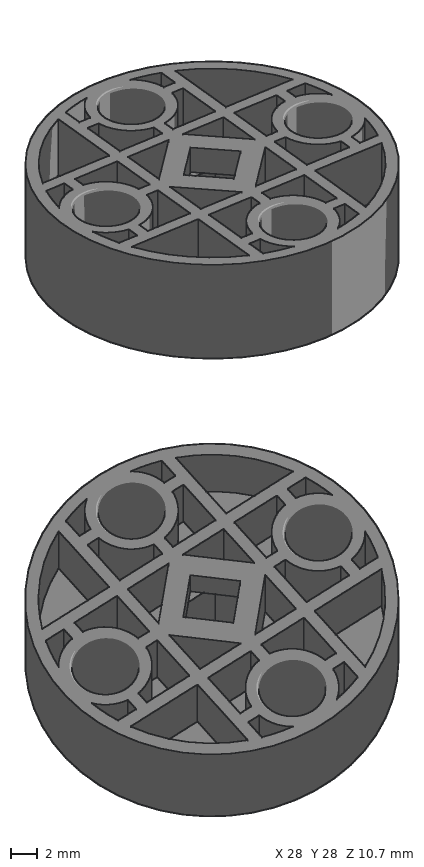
import cadquery as cq
import math

disc_radius = 14.0
disc_height = 8.4
hub_radius = 6.5
hub_height = 2.3

rim_thickness = 1.0
rib_thickness = 1.0
rib_offset = 5.0
pocket_depth = 5.0
floor_height = disc_height - pocket_depth

boss_distance = 10.0
boss_radius = 3.5
pin_hole_radius = 2.5
pin_hole_round = 0.2
boss_angles = (0, 90, 180, 270)

sleeve_side = 7.3
square_side = 3.8
square_depth = 2.2
bore_radius = 2.7
bore_flat_distance = 4.0


def at_height(z):
    return cq.Workplane("XY").workplane(offset=z)


def turned_square(side, z, height):
    """Square prism with its corners on the X and Y axes."""
    return at_height(z).rect(side, side).extrude(height).rotate((0, 0, 0), (0, 0, 1), 45)


def boss_frame():
    """Boss on the +X axis with the cross of short ribs that ties it to the grid and rim."""
    boss = at_height(floor_height).center(boss_distance, 0).circle(boss_radius).extrude(pocket_depth)
    cross_rib = (
        at_height(floor_height)
        .center(boss_distance, 0)
        .rect(rib_thickness, 2 * rib_offset)
        .extrude(pocket_depth)
    )
    radial_rib = (
        at_height(floor_height)
        .center((rib_offset + boss_distance) / 2, 0)
        .rect(boss_distance - rib_offset, rib_thickness)
        .extrude(pocket_depth)
    )
    return boss.union(cross_rib).union(radial_rib)


def ribs():
    """Everything that stands on the pocket floor inside the rim."""
    length = 2 * disc_radius
    frame = turned_square(sleeve_side, floor_height, pocket_depth)
    for offset in (-rib_offset, rib_offset):
        along_x = at_height(floor_height).center(0, offset).rect(length, rib_thickness).extrude(pocket_depth)
        along_y = at_height(floor_height).center(offset, 0).rect(rib_thickness, length).extrude(pocket_depth)
        frame = frame.union(along_x).union(along_y)
    for angle in boss_angles:
        frame = frame.union(boss_frame().rotate((0, 0, 0), (0, 0, 1), angle))
    return frame


def body():
    """Disc hollowed from the top around its ribs, with the hub below it."""
    disc = cq.Workplane("XY").circle(disc_radius).extrude(disc_height)
    cavity = at_height(floor_height).circle(disc_radius - rim_thickness).extrude(pocket_depth)
    hub = at_height(-hub_height).circle(hub_radius).extrude(hub_height)
    return disc.cut(cavity.cut(ribs())).union(hub)


def pin_hole():
    """Cutter for the through hole on the +X axis, flared at the top by a rounded mouth."""
    straight_top = disc_height - pin_hole_round
    mouth_radius = pin_hole_radius + pin_hole_round
    arc_rise = pin_hole_round * math.sin(math.radians(45))
    arc_reach = pin_hole_round - arc_rise
    profile = (
        cq.Workplane("XZ")
        .lineTo(pin_hole_radius, 0)
        .lineTo(pin_hole_radius, straight_top)
        .threePointArc((pin_hole_radius + arc_reach, straight_top + arc_rise), (mouth_radius, disc_height))
        .lineTo(0, disc_height)
        .close()
    )
    return profile.revolve(360, (0, 0, 0), (0, 1, 0)).translate((boss_distance, 0, 0))


def socket():
    """Square opening at the top that continues as a bore with flats through the hub."""
    square_floor = disc_height - square_depth
    bore_length = square_floor + hub_height
    square = turned_square(square_side, square_floor, square_depth)
    round_bore = at_height(-hub_height).circle(bore_radius).extrude(bore_length)
    flats = at_height(-hub_height).rect(bore_flat_distance, 2 * bore_radius).extrude(bore_length)
    return square.union(round_bore.intersect(flats))


result = body().cut(socket())
for angle in boss_angles:
    result = result.cut(pin_hole().rotate((0, 0, 0), (0, 0, 1), angle))